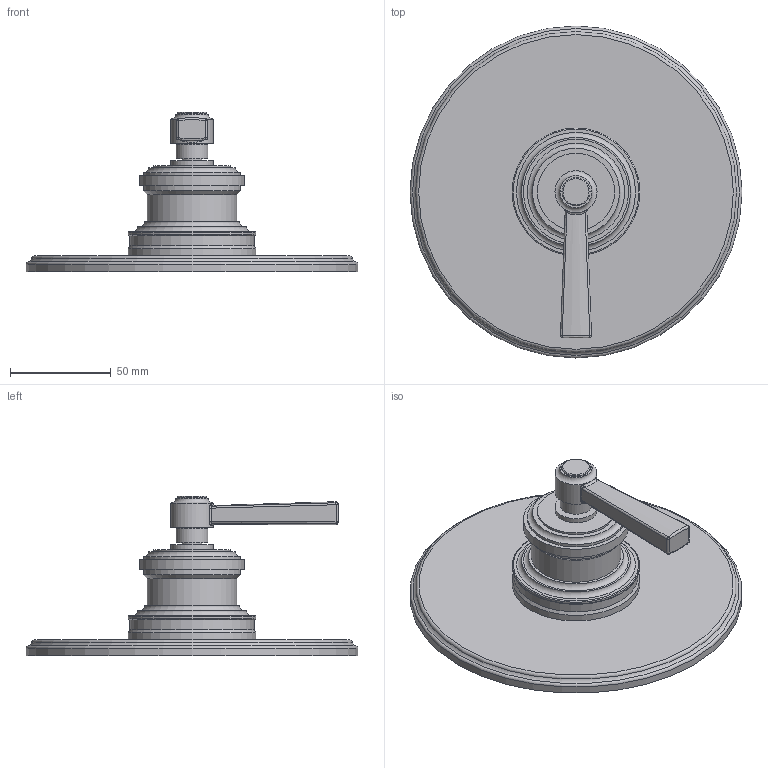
import cadquery as cq
import math

plate_radius = 165.1 / 2
plate_height = 8.0
rim_step = 1.5
rim_outer_round = 1.3
rim_hollow = 0.15

base_radius = 31.75
base_top = 11.5
groove_radius = 30.85
groove_bottom = 13.0
flange_bottom = 18.0
flange_top = 20.0
flange_round = 0.5

cove_radius = 2.5
lower_cove_top_radius = 27.1
upper_cove_top_radius = 23.6
body_radius = 22.25

hub_chamfer_bottom = 38.3
hub_chamfer_top = 40.3
hub_radius = 24.15
hub_ring_radius = 26.15
hub_ring_bottom = 42.8
hub_ring_top = 47.8
hub_cove_bottom = 49.3
hub_disc_radius = 19.2
hub_disc_top = 52.8

washer_radius = 10.45
washer_top = 55.3
neck_radius = 5.0
stem_radius = 7.9
stem_bottom = 56.25
knob_radius = 10.45
knob_bottom = 64.1
knob_fillet = 0.5
knob_cove_top = 78.55
knob_disc_radius = 7.0
knob_disc_round = 0.5
overall_height = 79.53

lever_start = 6.0
lever_end = 72.65
lever_start_half_width = 5.25
lever_end_half_width = 7.75
lever_start_top = 74.65
lever_end_top = 76.8
lever_start_bottom = 65.55
lever_end_bottom = 65.1
lever_crown_radius = 40.0
lever_edge_round = 1.0
lever_root_fillet = 1.0
lever_joint_margin = 0.2


def quarter_round(profile, start, end, centre):
    """Add a quarter circle from start to end about the given centre."""
    chord_middle = ((start[0] + end[0]) / 2, (start[1] + end[1]) / 2)
    radius = abs(start[0] - end[0])
    stretch = radius / math.dist(chord_middle, centre)
    middle = tuple(c + (m - c) * stretch for m, c in zip(chord_middle, centre))
    return profile.threePointArc(middle, end)


def add_cove(profile, top):
    """Run to the foot of a cove and follow its concave quarter round up to the given top point."""
    foot = (top[0] + cove_radius, top[1] - cove_radius)
    return quarter_round(profile.lineTo(*foot), foot, top, (foot[0], top[1]))


def spin(profile):
    """Close a half profile on the Z axis and revolve it."""
    return profile.close().revolve(360, (0, 0), (0, 1))


def make_plate():
    """Round plate whose rim runs down in a convex, a shallow concave and a convex band."""
    lower = (plate_radius - rim_outer_round, plate_height - 2 * rim_step)
    upper = (lower[0] - rim_step, lower[1] + rim_step)
    top = (upper[0] - rim_step, plate_height)
    outer = (plate_radius, lower[1] - rim_outer_round)

    profile = cq.Workplane("XZ").lineTo(plate_radius, 0).lineTo(*outer)
    profile = quarter_round(profile, outer, lower, (lower[0], outer[1]))
    profile = profile.sagittaArc(upper, rim_hollow)
    profile = quarter_round(profile, upper, top, (top[0], upper[1]))
    return spin(profile.lineTo(0, plate_height))


def make_body():
    """Base ring, grooved neck flange, coved body and hub as one turned piece."""
    flange_cove = (lower_cove_top_radius, flange_top + cove_radius)
    body_cove = (upper_cove_top_radius, flange_cove[1] + cove_radius)
    hub_cove = (hub_radius - cove_radius, hub_cove_bottom + cove_radius)
    round_bottom = flange_bottom + flange_round
    round_top = flange_top - flange_round
    inset = base_radius - flange_round

    profile = cq.Workplane("XZ").lineTo(base_radius, 0).lineTo(base_radius, base_top)
    profile = profile.lineTo(groove_radius, groove_bottom).lineTo(groove_radius, flange_bottom)
    profile = profile.lineTo(inset, flange_bottom)
    profile = quarter_round(profile, (inset, flange_bottom), (base_radius, round_bottom), (inset, round_bottom))
    profile = profile.lineTo(base_radius, round_top)
    profile = quarter_round(profile, (base_radius, round_top), (inset, flange_top), (inset, round_top))
    profile = add_cove(profile, flange_cove)
    profile = add_cove(profile, body_cove)
    profile = profile.lineTo(body_radius, body_cove[1]).lineTo(body_radius, hub_chamfer_bottom)
    profile = profile.lineTo(hub_radius, hub_chamfer_top).lineTo(hub_radius, hub_ring_bottom)
    profile = profile.lineTo(hub_ring_radius, hub_ring_bottom).lineTo(hub_ring_radius, hub_ring_top)
    profile = profile.lineTo(hub_radius, hub_ring_top)
    profile = add_cove(profile, hub_cove)
    profile = profile.lineTo(hub_disc_radius, hub_cove[1]).lineTo(hub_disc_radius, hub_disc_top)
    return spin(profile.lineTo(0, hub_disc_top))


def make_stem_and_knob():
    """Washer, thin neck, stem and the coved knob with its raised cap."""
    knob_cove = (knob_radius - cove_radius, knob_cove_top)
    fillet_start = (stem_radius, knob_bottom - knob_fillet)
    fillet_end = (stem_radius + knob_fillet, knob_bottom)
    cap_side = (knob_disc_radius, overall_height - knob_disc_round)
    cap_top = (knob_disc_radius - knob_disc_round, overall_height)

    profile = cq.Workplane("XZ").moveTo(0, hub_disc_top).lineTo(washer_radius, hub_disc_top)
    profile = profile.lineTo(washer_radius, washer_top).lineTo(neck_radius, washer_top)
    profile = profile.lineTo(neck_radius, stem_bottom).lineTo(stem_radius, stem_bottom)
    profile = profile.lineTo(*fillet_start)
    profile = quarter_round(profile, fillet_start, fillet_end, (fillet_end[0], fillet_start[1]))
    profile = profile.lineTo(knob_radius, knob_bottom)
    profile = add_cove(profile, knob_cove)
    profile = profile.lineTo(knob_disc_radius, knob_cove_top).lineTo(*cap_side)
    profile = quarter_round(profile, cap_side, cap_top, (cap_top[0], cap_side[1]))
    return spin(profile.lineTo(0, overall_height))


def lever_section(distance, half_width, bottom, top):
    """Closed section across the lever, with crowned upper and lower edges."""
    crown = lever_crown_radius - math.sqrt(lever_crown_radius**2 - half_width**2)
    plane = cq.Plane(origin=(0, -distance, 0), xDir=(1, 0, 0), normal=(0, -1, 0))
    section = cq.Workplane(plane).moveTo(-half_width, bottom + crown)
    section = section.threePointArc((0, bottom), (half_width, bottom + crown))
    section = section.lineTo(half_width, top - crown)
    section = section.threePointArc((0, top), (-half_width, top - crown)).close()
    return section.val()


def make_lever():
    """Tapered lever with its long edges and outer end rounded."""
    root = lever_section(lever_start, lever_start_half_width, lever_start_bottom, lever_start_top)
    tip = lever_section(lever_end, lever_end_half_width, lever_end_bottom, lever_end_top)
    lever = cq.Workplane(cq.Solid.makeLoft([root, tip], True))
    return lever.edges("not(>Y)").fillet(lever_edge_round)


def make_handle():
    """Knob and lever joined, with a fillet where the lever leaves the knob."""
    handle = make_stem_and_knob().union(make_lever())
    half_width = lever_start_half_width + lever_edge_round
    joint = cq.selectors.BoxSelector(
        (-half_width, -knob_radius - lever_joint_margin, lever_start_bottom - lever_edge_round),
        (half_width, -lever_start - lever_joint_margin, lever_start_top + lever_edge_round),
        boundingbox=True,
    )
    return handle.edges(joint).fillet(lever_root_fillet)


result = make_plate().union(make_body()).union(make_handle())